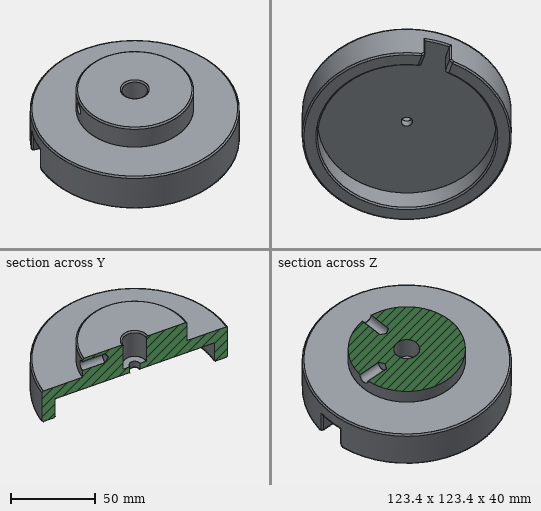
import cadquery as cq
import math

disc_diameter = 123.4
disc_height = 25.0
boss_diameter = 69.5
total_height = 40.0
edge_chamfer = 1.0

rim_thickness = 9.0
recess_depth = 15.0
recess_diameter = disc_diameter - 2 * rim_thickness

notch_width = 15.0
notch_height = recess_depth
notch_flare = 2.0

bore_diameter = 15.0
bore_depth = 20.0
through_diameter = 6.5

side_hole_diameter = 6.8
side_hole_depth = 15.0
side_hole_drop = 6.0
side_hole_z = total_height - side_hole_drop
drill_tip_angle = 118.0
drill_tip_length = side_hole_diameter / 2 / math.tan(math.radians(drill_tip_angle / 2))
side_hole_directions = [(-1, 0, 0), (0, -1, 0)]


def make_body():
    """Flanged disc with its boss and a round recess underneath."""
    disc = cq.Workplane("XY").circle(disc_diameter / 2).extrude(disc_height)
    boss = cq.Workplane("XY").circle(boss_diameter / 2).extrude(total_height)
    recess = cq.Workplane("XY").circle(recess_diameter / 2).extrude(recess_depth)
    disc = disc.faces(">Z").edges().chamfer(edge_chamfer)
    boss = boss.faces(">Z").edges().chamfer(edge_chamfer)
    return disc.union(boss).cut(recess)


def cut_notch(body):
    """Open the rim towards -Y with a notch whose sides flare out at the bottom."""
    half_width = notch_width / 2
    flared_half_width = half_width + notch_flare
    notch = (
        cq.Workplane("XZ")
        .moveTo(-flared_half_width, 0)
        .lineTo(-half_width, notch_flare)
        .lineTo(-half_width, notch_height)
        .lineTo(half_width, notch_height)
        .lineTo(half_width, notch_flare)
        .lineTo(flared_half_width, 0)
        .close()
        .extrude(disc_diameter)
    )
    return body.cut(notch)


def chamfer_rim(body):
    """Chamfer the notch mouth on the outer wall and both round bottom edges of the rim."""
    mouth_edges = cq.selectors.BoxSelector(
        (-notch_width, -disc_diameter, 0),
        (notch_width, edge_chamfer - disc_diameter / 2, disc_height - edge_chamfer),
    )
    round_bottom_edges = body.faces("<Z").edges("%CIRCLE")
    return body.edges(mouth_edges).add(round_bottom_edges).chamfer(edge_chamfer)


def cut_central_bore(body):
    """Blind bore with a chamfered rim and a smaller hole on through its floor."""
    boss_top = body.faces(">Z").workplane(origin=(0, 0, 0))
    body = boss_top.cboreHole(through_diameter, bore_diameter, bore_depth)
    bore_rim = cq.selectors.RadiusNthSelector(0)
    return body.faces(">Z").edges(bore_rim).chamfer(edge_chamfer)


def make_side_hole(direction):
    """Drilled hole with a conical tip, running inwards from the boss wall."""
    outwards = cq.Vector(*direction)
    inwards = outwards * -1
    start = outwards * (boss_diameter / 2) + cq.Vector(0, 0, side_hole_z)
    tip_start = start + inwards * side_hole_depth
    radius = side_hole_diameter / 2
    shaft = cq.Solid.makeCylinder(radius, side_hole_depth, start, inwards)
    tip = cq.Solid.makeCone(radius, 0, drill_tip_length, tip_start, inwards)
    return cq.Workplane(shaft).union(cq.Workplane(tip))


result = cut_central_bore(chamfer_rim(cut_notch(make_body())))
for hole_direction in side_hole_directions:
    result = result.cut(make_side_hole(hole_direction))